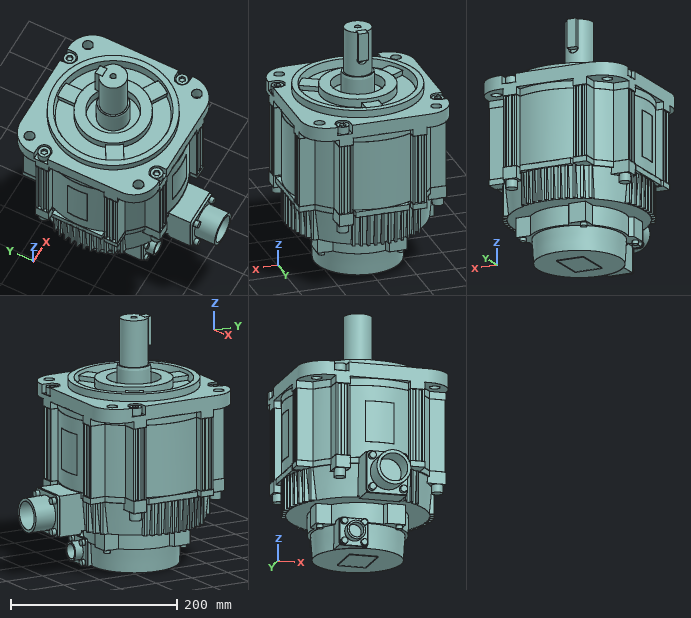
import cadquery as cq
import math

SHAFT_END_Z = 305.0
PILOT_TOP_Z = 230.3
FLANGE_TOP_Z = 220.8
FLANGE_BOTTOM_Z = 203.5
FRONT_BRACKET_BOTTOM_Z = 194.3
REAR_RING_TOP_Z = 104.3
REAR_RING_BOTTOM_Z = 97.0
LUG_BOTTOM_Z = 88.8
BOLT_TAIL_BOTTOM_Z = 78.7
FAN_BODY_BOTTOM_Z = 56.5
ENCODER_PLATE_BOTTOM_Z = 31.7
SCREW_BOTTOM_Z = 27.5
COVER_BOTTOM_Z = 1.0

FLANGE_SIDE = 188.2
FLANGE_CORNER_RADIUS = 33.2
MOUNT_HOLE_OFFSET = 74.5
MOUNT_HOLE_RADIUS = 6.5
PILOT_RADIUS = 79.5
RECESS_TOP_RADIUS = 72.0
RECESS_FLOOR_RADIUS = 70.0
RECESS_DEPTH = 10.7
BOSS_RADIUS = 47.3
BOSS_BORE_RADIUS = 33.0
BORE_DEPTH = 13.7
SPOKE_WIDTH = 21.7
SPOKE_DROP = 4.5

SHAFT_RADIUS = 17.5
SHOULDER_RADIUS = 20.5
SHOULDER_TOP_Z = 246.8
SHOULDER_TAPER_HEIGHT = 3.7
SHOULDER_TOP_RADIUS = 19.5
CENTER_HOLE_RADIUS = 3.7
CENTER_HOLE_DEPTH = 15.3
KEY_WIDTH = 12.2
KEY_FLOOR_Y = 11.5
KEY_TOP_Y = 21.5
KEY_BOTTOM_Z = 268.7

BOLT_ALONG = 48.5
BOLT_OUT = 85.5
NOTCH_RADIUS = 9.0
NOTCH_DEPTH = 11.0
BOLT_HEAD_RADIUS = 7.5
BOLT_HEAD_DROP = 1.5
BOLT_SOCKET_DIAMETER = 8.5
BOLT_SOCKET_DEPTH = 3.7
BOLT_TAIL_RADIUS = 7.0

CORE_RADIUS = 92.5
BAR_CENTER = 47.0
BAR_WIDTH = 18.0
BODY_INSET = 0.3
BODY_BAR_OUT = 93.3
BAR_ROOT = 70.0
GROOVE_SPACING = 8.0
GROOVE_WIDTH = 4.3
GROOVE_DEPTH = 3.0
PANEL_WIDTH_FRONT = 36.0
PANEL_WIDTH_SIDE = 26.8
PANEL_BOTTOM_Z_FRONT = 124.0
PANEL_TOP_Z_FRONT = 175.0
PANEL_BOTTOM_Z_SIDE = 120.2
PANEL_TOP_Z_SIDE = 178.7
LEDGE_WIDTH = 68.3
LEDGE_OUT = 92.7

FAN_TOP_RADIUS = 90.5
FAN_BOTTOM_RADIUS = 87.0
FIN_TIP_RADIUS = 92.5
FIN_ROOT = 61.0
FIN_WIDTH = 2.7
FIN_START = 52.5
FIN_ROW_LENGTH = 87.0
FINS_PER_SIDE = 11
FIN_PITCH = FIN_ROW_LENGTH / (FINS_PER_SIDE - 1)
FINS_BESIDE_CONNECTOR = 3

PLATE_RADIUS = 61.0
EAR_OUT = 65.0
EAR_ROOT = 42.7
EAR_END = 40.5
EAR_TIP_START = 18.0
EAR_ROOT_START = 14.5
SCREW_ALONG = 34.8
SCREW_OUT = 58.3
SCREW_RADIUS = 4.0
COVER_TOP_RADIUS = 57.0
COVER_BOTTOM_RADIUS = 55.2
LABEL_WIDTH = 36.0
LABEL_LENGTH = 51.0

TOTAL_LENGTH_Y = 244.0
HOUSING_INSET = 0.3
POWER_Z = 78.0
POWER_WIDTH = 51.2
POWER_HEIGHT = 52.0
POWER_CHAMFER_START = 87.5
POWER_CHAMFER_END = 90.0

SIDE_ANGLES = (0, 90, 180, 270)


def cylinder(radius, bottom, top, x=0.0, y=0.0):
    return cq.Workplane("XY").workplane(offset=bottom).center(x, y).circle(radius).extrude(top - bottom)


def cone(bottom_radius, top_radius, bottom, top):
    return cq.Workplane("XY").add(
        cq.Solid.makeCone(bottom_radius, top_radius, top - bottom, cq.Vector(0, 0, bottom))
    )


def block(x_range, y_range, z_range):
    """Box between the low and high value of each axis."""
    low_x, high_x = x_range
    low_y, high_y = y_range
    low_z, high_z = z_range
    return cq.Workplane("XY").box(
        high_x - low_x, high_y - low_y, high_z - low_z, centered=False
    ).translate((low_x, low_y, low_z))


def turned(shape, angle):
    return shape.rotate((0, 0, 0), (0, 0, 1), angle)


def on_each_side(shape):
    """The shape, made for the -Y side, repeated on all four sides."""
    group = shape
    for angle in SIDE_ANGLES[1:]:
        group = group.union(turned(shape, angle))
    return group


def barred_section(bar_out, bottom, top, inset=0.0):
    """Round core with two bars on each side, reaching bar_out from the axis."""
    half_width = BAR_WIDTH / 2 - inset
    bars = cq.Workplane("XY")
    for center in (-BAR_CENTER, BAR_CENTER):
        bars = bars.union(
            block((center - half_width, center + half_width), (-bar_out, -BAR_ROOT), (bottom, top))
        )
    return cylinder(CORE_RADIUS - inset, bottom, top).union(on_each_side(bars))


def motor_body():
    body = barred_section(BODY_BAR_OUT, REAR_RING_TOP_Z, FRONT_BRACKET_BOTTOM_Z, BODY_INSET)
    for bar_center in (-BAR_CENTER, BAR_CENTER):
        for shift in (-GROOVE_SPACING / 2, GROOVE_SPACING / 2):
            center = bar_center + shift
            groove = block(
                (center - GROOVE_WIDTH / 2, center + GROOVE_WIDTH / 2),
                (-BODY_BAR_OUT, -BODY_BAR_OUT + GROOVE_DEPTH),
                (REAR_RING_TOP_Z, FRONT_BRACKET_BOTTOM_Z),
            )
            body = body.cut(on_each_side(groove))
    front_panel = block(
        (-PANEL_WIDTH_FRONT / 2, PANEL_WIDTH_FRONT / 2),
        (-FLANGE_SIDE / 2, -BAR_ROOT),
        (PANEL_BOTTOM_Z_FRONT, PANEL_TOP_Z_FRONT),
    )
    side_panel = block(
        (-FLANGE_SIDE / 2, -BAR_ROOT),
        (-PANEL_WIDTH_SIDE / 2, PANEL_WIDTH_SIDE / 2),
        (PANEL_BOTTOM_Z_SIDE, PANEL_TOP_Z_SIDE),
    )
    panel_envelope = cylinder(CORE_RADIUS, REAR_RING_TOP_Z, FRONT_BRACKET_BOTTOM_Z)
    return body.union(front_panel.union(side_panel).intersect(panel_envelope))


def front_bracket():
    flange = (
        cq.Workplane("XY")
        .workplane(offset=FLANGE_BOTTOM_Z)
        .rect(FLANGE_SIDE, FLANGE_SIDE)
        .extrude(FLANGE_TOP_Z - FLANGE_BOTTOM_Z)
        .edges("|Z")
        .fillet(FLANGE_CORNER_RADIUS)
    )
    holes = (
        cq.Workplane("XY")
        .workplane(offset=FLANGE_BOTTOM_Z)
        .rect(2 * MOUNT_HOLE_OFFSET, 2 * MOUNT_HOLE_OFFSET, forConstruction=True)
        .vertices()
        .circle(MOUNT_HOLE_RADIUS)
        .extrude(FLANGE_TOP_Z - FLANGE_BOTTOM_Z)
    )
    rim = barred_section(FLANGE_SIDE / 2, FRONT_BRACKET_BOTTOM_Z, FLANGE_BOTTOM_Z)
    pilot = cylinder(PILOT_RADIUS, FLANGE_TOP_Z, PILOT_TOP_Z)
    return flange.cut(holes).union(rim).union(pilot).cut(pilot_recess())


def pilot_recess():
    """Ring-shaped recess around the boss, crossed by three spokes, and the bore in the boss."""
    floor_z = PILOT_TOP_Z - RECESS_DEPTH
    recess = cone(RECESS_FLOOR_RADIUS, RECESS_TOP_RADIUS, floor_z, PILOT_TOP_Z)
    recess = recess.cut(cylinder(BOSS_RADIUS, floor_z, PILOT_TOP_Z))
    spoke = block(
        (-SPOKE_WIDTH / 2, SPOKE_WIDTH / 2), (0, PILOT_RADIUS), (floor_z, PILOT_TOP_Z - SPOKE_DROP)
    )
    for angle in (0, 120, 240):
        recess = recess.cut(turned(spoke, angle))
    return recess.union(cylinder(BOSS_BORE_RADIUS, PILOT_TOP_Z - BORE_DEPTH, PILOT_TOP_Z))


def bolt_notches():
    floor_z = FLANGE_TOP_Z - NOTCH_DEPTH
    notch = cylinder(NOTCH_RADIUS, floor_z, FLANGE_TOP_Z, -BOLT_ALONG, -BOLT_OUT)
    opening = block(
        (-BOLT_ALONG - NOTCH_RADIUS, -BOLT_ALONG + NOTCH_RADIUS),
        (-FLANGE_SIDE / 2, -BOLT_OUT),
        (floor_z, FLANGE_TOP_Z),
    )
    return on_each_side(notch.union(opening))


def bolt_heads():
    head_top_z = FLANGE_TOP_Z - BOLT_HEAD_DROP
    head = cylinder(BOLT_HEAD_RADIUS, FLANGE_TOP_Z - NOTCH_DEPTH, head_top_z, -BOLT_ALONG, -BOLT_OUT)
    socket = (
        cq.Workplane("XY")
        .workplane(offset=head_top_z - BOLT_SOCKET_DEPTH)
        .center(-BOLT_ALONG, -BOLT_OUT)
        .polygon(6, BOLT_SOCKET_DIAMETER)
        .extrude(BOLT_SOCKET_DEPTH)
    )
    return on_each_side(head.cut(socket))


def rear_ring():
    ring = barred_section(FLANGE_SIDE / 2, REAR_RING_BOTTOM_Z, REAR_RING_TOP_Z)
    ledge = block(
        (-LEDGE_WIDTH / 2, LEDGE_WIDTH / 2), (-LEDGE_OUT, -BAR_ROOT), (REAR_RING_BOTTOM_Z, REAR_RING_TOP_Z)
    )
    for angle in SIDE_ANGLES[1:]:
        ring = ring.union(turned(ledge, angle))
    lug = block(
        (-BAR_CENTER - BAR_WIDTH / 2, -BAR_CENTER + BAR_WIDTH / 2),
        (-FLANGE_SIDE / 2, -BAR_ROOT),
        (LUG_BOTTOM_Z, REAR_RING_BOTTOM_Z),
    )
    bolt_tail = cylinder(BOLT_TAIL_RADIUS, BOLT_TAIL_BOTTOM_Z, LUG_BOTTOM_Z, -BOLT_ALONG, -BOLT_OUT)
    return ring.union(on_each_side(lug.union(bolt_tail)))


def fin_row(count):
    """Parallel fins standing out from the -Y side, counted from its +X end."""
    envelope = cylinder(FIN_TIP_RADIUS, FAN_BODY_BOTTOM_Z, REAR_RING_BOTTOM_Z)
    fins = cq.Workplane("XY")
    for index in range(count):
        center = FIN_START - index * FIN_PITCH
        fins = fins.union(
            block(
                (center - FIN_WIDTH / 2, center + FIN_WIDTH / 2),
                (-FIN_TIP_RADIUS, -FIN_ROOT),
                (FAN_BODY_BOTTOM_Z, REAR_RING_BOTTOM_Z),
            )
        )
    return fins.intersect(envelope)


def fan_body():
    body = cone(FAN_BOTTOM_RADIUS, FAN_TOP_RADIUS, FAN_BODY_BOTTOM_Z, REAR_RING_BOTTOM_Z)
    body = body.union(fin_row(FINS_BESIDE_CONNECTOR))
    for angle in SIDE_ANGLES[1:]:
        body = body.union(turned(fin_row(FINS_PER_SIDE), angle))
    return body


def encoder_plate():
    height = FAN_BODY_BOTTOM_Z - ENCODER_PLATE_BOTTOM_Z
    ear = (
        cq.Workplane("XY")
        .workplane(offset=ENCODER_PLATE_BOTTOM_Z)
        .polyline(
            [
                (EAR_ROOT_START, -EAR_ROOT),
                (EAR_ROOT_START, -math.sqrt(PLATE_RADIUS**2 - EAR_ROOT_START**2)),
                (EAR_TIP_START, -EAR_OUT),
                (EAR_END, -EAR_OUT),
                (EAR_END, -EAR_ROOT),
            ]
        )
        .close()
        .extrude(height)
    )
    screw = cylinder(SCREW_RADIUS, SCREW_BOTTOM_Z, ENCODER_PLATE_BOTTOM_Z, SCREW_ALONG, -SCREW_OUT)
    plate = cylinder(PLATE_RADIUS, ENCODER_PLATE_BOTTOM_Z, FAN_BODY_BOTTOM_Z)
    return plate.union(on_each_side(ear.union(screw)))


def rear_cover():
    cover = cone(COVER_BOTTOM_RADIUS, COVER_TOP_RADIUS, COVER_BOTTOM_Z, ENCODER_PLATE_BOTTOM_Z)
    label = cq.Workplane("XY").rect(LABEL_WIDTH, LABEL_LENGTH).extrude(COVER_BOTTOM_Z)
    return cover.union(label)


def connector(x, z, width, height, root, plate_start, plate_end, screw_end, barrel_end,
              barrel_radius, bore_radius, screw_spacing, screw_radius, corner_radius):
    """Box, plate, four screws and a barrel pointing to -Y, placed by their distances from the axis."""

    def plane_at(distance):
        return cq.Workplane("XZ", origin=(x, -distance, z))

    housing = plane_at(root).rect(width - 2 * HOUSING_INSET, height - 2 * HOUSING_INSET)
    housing = housing.extrude(plate_start - root)
    plate = plane_at(plate_start).rect(width, height).extrude(plate_end - plate_start)
    plate = plate.edges("|Y").fillet(corner_radius)
    screws = (
        plane_at(plate_end)
        .rect(screw_spacing, screw_spacing, forConstruction=True)
        .vertices()
        .circle(screw_radius)
        .extrude(screw_end - plate_end)
    )
    barrel = plane_at(plate_end).circle(barrel_radius).circle(bore_radius)
    barrel = barrel.extrude(barrel_end - plate_end)
    return housing.union(plate).union(screws).union(barrel)


def power_connector():
    shape = connector(
        x=0.0,
        z=POWER_Z,
        width=POWER_WIDTH,
        height=POWER_HEIGHT,
        root=FIN_ROOT,
        plate_start=119.0,
        plate_end=122.3,
        screw_end=127.8,
        barrel_end=TOTAL_LENGTH_Y - FLANGE_SIDE / 2,
        barrel_radius=21.5,
        bore_radius=17.5,
        screw_spacing=39.0,
        screw_radius=4.3,
        corner_radius=5.0,
    )
    bottom_z = POWER_Z - POWER_HEIGHT / 2
    under_fan_body = (
        cq.Workplane("YZ", origin=(-POWER_WIDTH / 2, 0, 0))
        .polyline(
            [
                (0, FAN_BODY_BOTTOM_Z),
                (-POWER_CHAMFER_START, FAN_BODY_BOTTOM_Z),
                (-POWER_CHAMFER_END, bottom_z),
                (0, bottom_z),
            ]
        )
        .close()
        .extrude(POWER_WIDTH)
    )
    return shape.cut(under_fan_body)


def encoder_connector():
    return connector(
        x=-24.0,
        z=18.0,
        width=35.5,
        height=34.2,
        root=30.5,
        plate_start=60.7,
        plate_end=63.5,
        screw_end=67.5,
        barrel_end=74.0,
        barrel_radius=11.5,
        bore_radius=9.0,
        screw_spacing=25.0,
        screw_radius=4.0,
        corner_radius=3.7,
    )


def shaft():
    seat_z = PILOT_TOP_Z - BORE_DEPTH
    taper_z = SHOULDER_TOP_Z - SHOULDER_TAPER_HEIGHT
    shoulder = cylinder(SHOULDER_RADIUS, seat_z, taper_z)
    taper = cone(SHOULDER_RADIUS, SHOULDER_TOP_RADIUS, taper_z, SHOULDER_TOP_Z)
    bar = cylinder(SHAFT_RADIUS, SHOULDER_TOP_Z, SHAFT_END_Z)
    center_hole = cylinder(CENTER_HOLE_RADIUS, SHAFT_END_Z - CENTER_HOLE_DEPTH, SHAFT_END_Z)
    return shoulder.union(taper).union(bar).cut(center_hole).cut(keyway())


def keyway():
    """Slot open at the shaft end, with a half-round lower end just beyond the key."""
    depth = KEY_TOP_Y - KEY_FLOOR_Y
    round_end = (
        cq.Workplane("XZ", origin=(0, KEY_TOP_Y, KEY_BOTTOM_Z)).circle(KEY_WIDTH / 2).extrude(depth)
    )
    return key_block().union(round_end)


def key_block():
    return block(
        (-KEY_WIDTH / 2, KEY_WIDTH / 2), (KEY_FLOOR_Y, KEY_TOP_Y), (KEY_BOTTOM_Z, SHAFT_END_Z)
    )


def make_motor():
    motor = front_bracket().cut(bolt_notches()).union(bolt_heads())
    for section in (motor_body, rear_ring, fan_body, encoder_plate, rear_cover,
                    power_connector, encoder_connector, shaft):
        motor = motor.union(section())
    return motor


motor = make_motor()
key = key_block()

result = cq.Compound.makeCompound([motor.val(), key.val()])